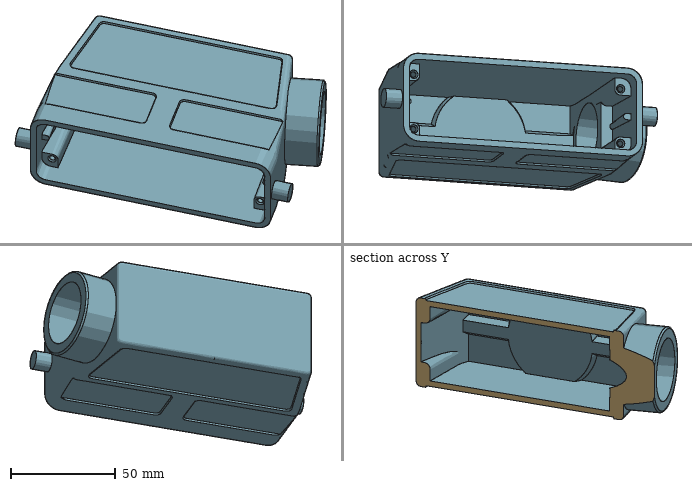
import cadquery as cq
import math


OVERALL_X = 141.5
OVERALL_Y = 76.3

RIM_WIDTH = 120.0
RIM_HEIGHT = 43.3
RIM_CORNER = 7.6
RIM_DEPTH = 11.0
SHOULDER_Y = 32.1
SHOULDER_WIDTH = 115.2
FULL_HEIGHT_Y = 37.1
UPPER_HEIGHT = 45.0
UPPER_CORNER = 2.5
BACK_Y = 75.8
BACK_EDGE = 2.1
SIDE_ANGLE = 11
SIDE_SLOPE = math.tan(math.radians(SIDE_ANGLE))

RECESS_DEPTH = 0.8
RECESS_CORNER = 2.5
RECESS_DRAFT = 25
CENTRE_WEB = 11.5
PANEL_TOP_Y = 71.5
PANEL_SIDE_INSET = 4.5

PIN_SPAN = 136.1
PIN_DIAMETER = 9.0
PIN_Y = 6.2

ENTRY_DIAMETER = 41.6
ENTRY_BORE = 30.5
ENTRY_LENGTH = 22.6
ENTRY_BORE_LENGTH = 31.8
ENTRY_EDGE = 0.8
RELIEF_DIAMETER = 38.2
RELIEF_LENGTH = 42.5
RELIEF_WIDTH = 18.1

WALL = 3.0
PLATEAU_Y = 69.3
FLOOR_Y = 72.9
LEDGE_Y = 31.5
LEDGE_INNER_X = 49.0
ENTRY_WALL_X = 47.3
FLOOR_HALF_X = 46.1
PLATEAU_RADIUS = 22.9
PLATEAU_RADIAL_DRAFT = 1.1
STRIP_TOP_HALF = 3.0
STRIP_BASE_HALF = 5.0

POST_FRONT_Y = 9.5
POST_INNER_X = LEDGE_INNER_X
POST_INNER_Z = 10.3
POST_CORNER = 2.8
POST_DRAFT = 1
SCREW_X = 52.0
SCREW_Z = 13.5
SCREW_DIAMETER = 2.7
SCREW_SINK_DIAMETER = 4.1
SCREW_SINK_DEPTH = 0.7
SCREW_DEPTH = 17
RIB_RADIUS = 1.5
RIB_TIP_X = 53.3

cavity_width = RIM_WIDTH - 2 * WALL
cavity_height = RIM_HEIGHT - 2 * WALL


def side_x(y):
    """Half width of the tapered upper shell at depth y."""
    return SHOULDER_WIDTH / 2 - (y - SHOULDER_Y) * SIDE_SLOPE


def plane_at(y):
    """XZ work plane at depth y; its normal points out of the open rim, towards -Y."""
    return cq.Workplane(cq.Plane(origin=(0, y, 0), xDir=(1, 0, 0), normal=(0, -1, 0)))


def rounded_loft(y_start, start, y_end, end):
    """Straight loft along Y between two rounded rectangles given as (width, height, corner)."""

    def outline(size):
        width, height, corner = size
        return cq.Sketch().rect(width, height).vertices().fillet(corner)

    end_outline = outline(end).moved(cq.Location(cq.Vector(0, 0, y_start - y_end)))
    return plane_at(y_start).placeSketch(outline(start), end_outline).loft(ruled=True)


def both_sides(shape, plane):
    """The shape together with its mirror image."""
    return shape.union(shape.mirror(plane))


def make_shell():
    """Solid outer body: rim, flared transition, sloping shoulder and tapered upper part."""
    rim = (RIM_WIDTH, RIM_HEIGHT, RIM_CORNER)
    shoulder = (SHOULDER_WIDTH, RIM_HEIGHT, UPPER_CORNER)
    full = (2 * side_x(FULL_HEIGHT_Y), UPPER_HEIGHT, UPPER_CORNER)
    back = (2 * side_x(BACK_Y), UPPER_HEIGHT, UPPER_CORNER)
    upper = rounded_loft(FULL_HEIGHT_Y, full, BACK_Y, back).faces(">Y").edges().fillet(BACK_EDGE)
    return (
        rounded_loft(0, rim, RIM_DEPTH, rim)
        .union(rounded_loft(RIM_DEPTH, rim, SHOULDER_Y, shoulder))
        .union(rounded_loft(SHOULDER_Y, shoulder, FULL_HEIGHT_Y, full))
        .union(upper)
    )


def make_panel():
    """Drafted recess cutter for the +Z face above the shoulder."""
    low = side_x(FULL_HEIGHT_Y) - PANEL_SIDE_INSET
    high = side_x(PANEL_TOP_Y) - PANEL_SIDE_INSET
    outline = (
        cq.Sketch()
        .polygon([
            (-low, FULL_HEIGHT_Y), (low, FULL_HEIGHT_Y),
            (high, PANEL_TOP_Y), (-high, PANEL_TOP_Y), (-low, FULL_HEIGHT_Y),
        ])
        .vertices()
        .fillet(RECESS_CORNER)
    )
    top = cq.Workplane("XY", origin=(0, 0, UPPER_HEIGHT / 2))
    return top.placeSketch(outline).extrude(-RECESS_DEPTH, taper=RECESS_DRAFT)


def make_side_pockets():
    """Two recess cutters below the shoulder, running out over the end faces."""
    length = RIM_WIDTH / 2
    outline = (
        cq.Sketch()
        .rect(length, SHOULDER_Y - RIM_DEPTH)
        .vertices()
        .fillet(RECESS_CORNER)
        .moved(cq.Location(cq.Vector((CENTRE_WEB + length) / 2, (RIM_DEPTH + SHOULDER_Y) / 2, 0)))
    )
    top = cq.Workplane("XY", origin=(0, 0, RIM_HEIGHT / 2))
    pocket = top.placeSketch(outline).extrude(-RECESS_DEPTH, taper=RECESS_DRAFT)
    return both_sides(pocket, "YZ")


def make_pins():
    """One bar across the hood; cutting the cavity leaves a pin on each end face."""
    return (
        cq.Workplane("YZ", origin=(-PIN_SPAN / 2, 0, 0))
        .center(PIN_Y, 0)
        .circle(PIN_DIAMETER / 2)
        .extrude(PIN_SPAN)
    )


def entry_plane():
    """Plane of the cable entry's end face, its normal pointing out of the hood."""
    cos_tilt = math.cos(math.radians(SIDE_ANGLE))
    sin_tilt = math.sin(math.radians(SIDE_ANGLE))
    radius = ENTRY_DIAMETER / 2
    reach_x = (radius - ENTRY_EDGE) * sin_tilt
    reach_y = radius * cos_tilt - ENTRY_EDGE * sin_tilt
    centre = (OVERALL_X - PIN_SPAN / 2 - reach_x, OVERALL_Y - reach_y, 0)
    return cq.Plane(origin=centre, xDir=(0, 0, 1), normal=(cos_tilt, sin_tilt, 0))


def make_entry():
    tube = cq.Workplane(entry_plane()).circle(ENTRY_DIAMETER / 2).extrude(-ENTRY_LENGTH)
    return tube.faces(">X").edges().chamfer(ENTRY_EDGE)


def make_plateau():
    """Raised disc and cross strip on the cavity floor, both with drafted sides."""
    rise = FLOOR_Y - PLATEAU_Y
    disc_draft = math.degrees(math.atan(PLATEAU_RADIAL_DRAFT / rise))
    disc = (
        plane_at(FLOOR_Y)
        .circle(PLATEAU_RADIUS + PLATEAU_RADIAL_DRAFT)
        .extrude(rise, taper=disc_draft)
    )
    strip = (
        cq.Workplane("YZ")
        .polyline([
            (FLOOR_Y, -STRIP_BASE_HALF), (PLATEAU_Y, -STRIP_TOP_HALF),
            (PLATEAU_Y, STRIP_TOP_HALF), (FLOOR_Y, STRIP_BASE_HALF),
        ])
        .close()
        .extrude(RIM_WIDTH / 2, both=True)
    )
    return disc.union(strip)


def make_posts():
    """Four drafted screw posts, oversized outwards so that they merge into the walls."""
    width = RIM_WIDTH / 2 - POST_INNER_X
    height = RIM_HEIGHT / 2 - POST_INNER_Z
    outline = (
        cq.Sketch()
        .rect(width, height)
        .vertices("<X and <Y")
        .fillet(POST_CORNER)
        .moved(cq.Location(cq.Vector(POST_INNER_X + width / 2, POST_INNER_Z + height / 2, 0)))
    )
    front = plane_at(POST_FRONT_Y).placeSketch(outline)
    post = front.extrude(POST_FRONT_Y - FLOOR_Y, taper=-POST_DRAFT)
    return both_sides(both_sides(post, "YZ"), "XY")


def make_ribs():
    """Round-nosed guide rib on the middle of each end wall."""
    length = RIM_WIDTH / 2 - RIB_TIP_X
    rib = (
        plane_at(POST_FRONT_Y)
        .center(RIB_TIP_X + length, 0)
        .slot2D(2 * length, 2 * RIB_RADIUS)
        .extrude(POST_FRONT_Y - FLOOR_Y)
    )
    return both_sides(rib, "YZ")


def make_cavity():
    """Inner space of the hood; the posts, ribs and plateau are left standing in it."""
    rim_x = cavity_width / 2
    break_x = SHOULDER_WIDTH / 2 - WALL
    plateau_x = side_x(PLATEAU_Y) - WALL
    space = (
        cq.Workplane("XY")
        .polyline([
            (-rim_x, 0), (rim_x, 0), (rim_x, RIM_DEPTH),
            (break_x, LEDGE_Y), (LEDGE_INNER_X, LEDGE_Y), (ENTRY_WALL_X, PLATEAU_Y),
            (FLOOR_HALF_X, FLOOR_Y), (-FLOOR_HALF_X, FLOOR_Y), (-plateau_x, PLATEAU_Y),
            (-break_x, SHOULDER_Y), (-rim_x, RIM_DEPTH),
        ])
        .close()
        .extrude(cavity_height / 2, both=True)
    )
    opening = (cavity_width, cavity_height, RIM_CORNER - WALL)
    space = space.intersect(rounded_loft(0, opening, FLOOR_Y, opening))
    return space.cut(make_posts()).cut(make_ribs()).cut(make_plateau())


def make_screw_holes():
    """Countersunk blind holes in the post ends."""
    hole = cq.Solid.makeCylinder(SCREW_DIAMETER / 2, SCREW_DEPTH)
    sink = cq.Solid.makeCone(SCREW_SINK_DIAMETER / 2, SCREW_DIAMETER / 2, SCREW_SINK_DEPTH)
    cutter = cq.Workplane(hole.fuse(sink)).rotate((0, 0, 0), (1, 0, 0), -90)
    cutter = cutter.translate((SCREW_X, POST_FRONT_Y, SCREW_Z))
    return both_sides(both_sides(cutter, "YZ"), "XY")


def make_entry_bore():
    """Bore of the cable entry, and the coaxial relief it has in the cavity floor."""
    axis_start = cq.Workplane(entry_plane())
    bore = axis_start.circle(ENTRY_BORE / 2).extrude(-ENTRY_BORE_LENGTH)
    relief_bounds = cq.Workplane("XY").box(
        ENTRY_WALL_X, OVERALL_Y, RELIEF_WIDTH, centered=(False, False, True)
    )
    relief = axis_start.circle(RELIEF_DIAMETER / 2).extrude(-RELIEF_LENGTH).intersect(relief_bounds)
    return bore.union(relief)


result = (
    make_shell()
    .cut(both_sides(make_panel(), "XY"))
    .cut(both_sides(make_side_pockets(), "XY"))
    .union(make_pins())
    .union(make_entry())
    .cut(make_cavity())
    .cut(make_entry_bore())
    .cut(make_screw_holes())
)